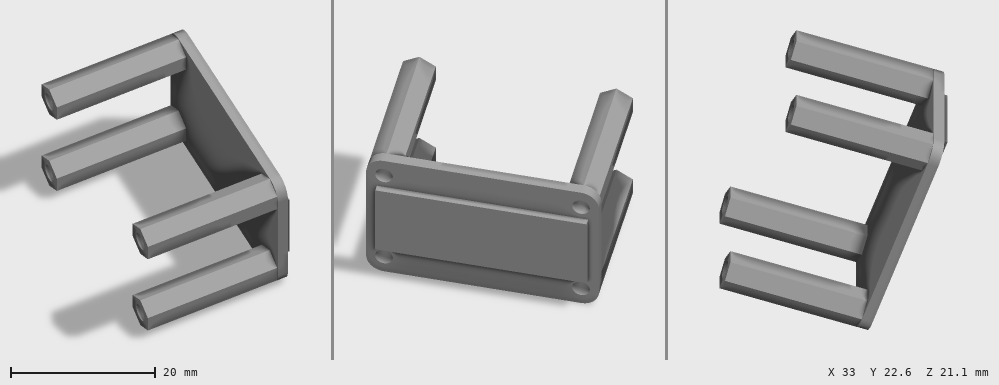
import cadquery as cq
import math

board_width = 33.02
board_height = 21.05
board_thickness = 1.55
corner_radius = 2.5
pad_width = 29.98
pad_height = 11.23
pad_thickness = 1.0

hole_spacing_x = 27.97
hole_spacing_z = 15.5
hole_diameter = 2.5
standoff_length = 20.0
standoff_across_flats = 4.65
standoff_across_corners = standoff_across_flats / math.cos(math.radians(30))

hole_centers = [
    (side_x * hole_spacing_x / 2, side_z * hole_spacing_z / 2)
    for side_x in (-1, 1)
    for side_z in (-1, 1)
]


def make_board():
    """Plate with its front face at Y = 0, rear pad and four through holes."""
    plate = (
        cq.Workplane("XZ")
        .rect(board_width, board_height)
        .extrude(-board_thickness)
        .edges("|Y")
        .fillet(corner_radius)
    )
    pad = (
        cq.Workplane("XZ", origin=(0, board_thickness, 0))
        .rect(pad_width, pad_height)
        .extrude(-pad_thickness)
    )
    holes = (
        cq.Workplane("XZ")
        .pushPoints(hole_centers)
        .circle(hole_diameter / 2)
        .extrude(-board_thickness)
    )
    return plate.union(pad).cut(holes)


def make_standoff(x, z):
    """Hexagonal tube from the board face toward -Y, with corners pointing up and down."""
    return (
        cq.Workplane("XZ", origin=(x, 0, z))
        .transformed(rotate=(0, 0, 90))
        .polygon(6, standoff_across_corners)
        .circle(hole_diameter / 2)
        .extrude(standoff_length)
    )


board = make_board()
standoffs = [make_standoff(x, z) for x, z in hole_centers]

result = cq.Compound.makeCompound([board.val(), *[standoff.val() for standoff in standoffs]])